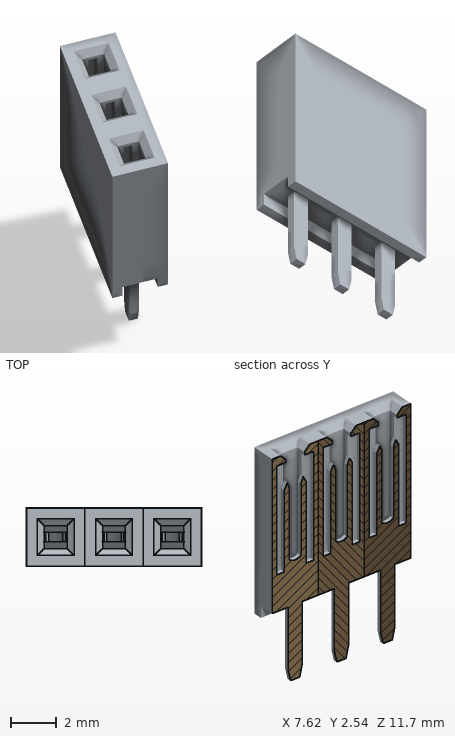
import cadquery as cq

position_count = 3
pitch = 2.54
housing_height = 8.5

groove_width = 1.6
groove_height = 0.6

socket_side = 1.0
socket_depth = 6.0
socket_floor = housing_height - socket_depth
mouth_chamfer = 0.3

contact_thickness = 0.42
slot_length = 2.0
slot_top = housing_height - 0.47

tine_top = housing_height - 1.5
fork_outer_width = 1.22
fork_tip_spacing = 0.87
fork_throat_width = 0.61
tine_tip_height = 0.34
throat_top = tine_top - tine_tip_height
fork_root_sag = 0.11
root_bottom = socket_floor + 0.4
throat_bottom = root_bottom + fork_root_sag

leg_width = 0.8
leg_length = 3.2
tip_width = 0.52
tip_height = 0.62


def block(size_x, size_y, bottom, top):
    """Upright block centred on the Z axis."""
    return cq.Workplane("XY", origin=(0, 0, bottom)).rect(size_x, size_y).extrude(top - bottom)


def make_housing():
    body = block(pitch, pitch, 0, housing_height)
    groove = block(pitch, groove_width, 0, groove_height)
    return body.cut(groove)


def make_socket():
    well = block(socket_side, socket_side, socket_floor, housing_height)
    slot = block(slot_length, contact_thickness, socket_floor, slot_top)
    mouth_side = socket_side + 2 * mouth_chamfer
    mouth = (
        cq.Workplane("XY", origin=(0, 0, housing_height))
        .rect(mouth_side, mouth_side)
        .workplane(offset=-mouth_chamfer)
        .rect(socket_side, socket_side)
        .loft(ruled=True)
    )
    return well.union(slot).union(mouth)


def extrude_contact(outline):
    """Give an outline in the XZ plane the contact thickness, centred on Y."""
    return outline.extrude(contact_thickness / 2, both=True)


def make_fork():
    half_outer = fork_outer_width / 2
    half_tips = fork_tip_spacing / 2
    half_throat = fork_throat_width / 2
    return extrude_contact(
        cq.Workplane("XZ")
        .moveTo(-half_outer, socket_floor)
        .lineTo(half_outer, socket_floor)
        .lineTo(half_outer, throat_top)
        .lineTo(half_tips, tine_top)
        .lineTo(half_throat, throat_top)
        .lineTo(half_throat, throat_bottom)
        .threePointArc((0, root_bottom), (-half_throat, throat_bottom))
        .lineTo(-half_throat, throat_top)
        .lineTo(-half_tips, tine_top)
        .lineTo(-half_outer, throat_top)
        .close()
    )


def make_leg():
    half_leg = leg_width / 2
    half_tip = tip_width / 2
    taper_start = tip_height - leg_length
    return extrude_contact(
        cq.Workplane("XZ")
        .moveTo(-half_leg, groove_height)
        .lineTo(-half_leg, taper_start)
        .lineTo(-half_tip, -leg_length)
        .lineTo(half_tip, -leg_length)
        .lineTo(half_leg, taper_start)
        .lineTo(half_leg, groove_height)
        .close()
    )


def make_position(center_x):
    position = make_housing().cut(make_socket()).union(make_fork()).union(make_leg())
    return position.translate((center_x, 0, 0))


first_center = -pitch * (position_count - 1) / 2
positions = [make_position(first_center + index * pitch) for index in range(position_count)]

result = cq.Compound.makeCompound([position.val() for position in positions])